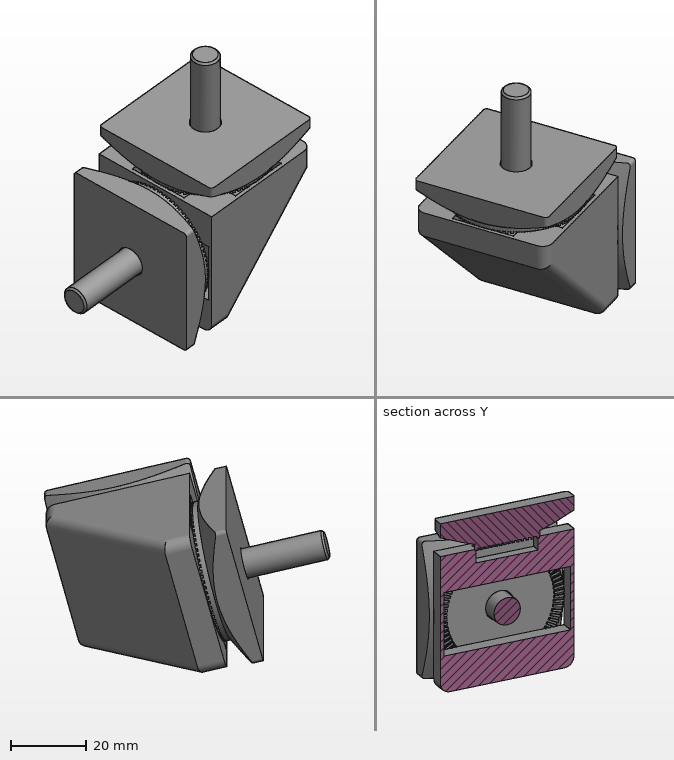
import cadquery as cq
import math

side = 40.0
end_width = 7.35
bracket_fillet = 3.0
pocket_depth = 4.0
pocket_width = 18.3
pocket_rim = 1.15
pocket_length = side - 2 * pocket_rim

flange_height = 10.0
corner_radius = 1.0
corner_thickness = 3.0
cone_depth = 8.1
collar_radius = 19.0
bore_diameter = 8.5
tooth_count = 80
tooth_height = 0.5
tooth_length = 3.0

stud_diameter = 8.0
stud_chamfer = 0.6
top_stud_reach = 32.7
front_stud_reach = 32.5

middle = side / 2
cone_start = flange_height - cone_depth
cone_end = flange_height - corner_thickness
corner_reach = (middle - corner_radius) * math.sqrt(2) + corner_radius


def on_top(shape):
    """Move a shape built on the XY plane to the centre of the bracket's top face."""
    return shape.translate((0, middle, side))


def on_front(shape):
    """Move a shape built on the XY plane to the centre of the front face, Z pointing out."""
    return shape.rotate((0, 0, 0), (1, 0, 0), 90).translate((0, 0, middle))


def make_tooth_gaps():
    """Wedge-shaped gaps between the crown teeth, one of them centred on the X axis."""
    pitch = 360 / tooth_count
    half_angle = math.radians(pitch / 4)
    outside = collar_radius + tooth_length
    half_width = outside * math.tan(half_angle)
    gap = (
        cq.Workplane("XY")
        .polyline([(0, 0), (outside, -half_width), (outside, half_width)])
        .close()
        .extrude(tooth_height)
        .val()
    )
    gaps = [gap.rotate((0, 0, 0), (0, 0, 1), i * pitch) for i in range(tooth_count)]
    return cq.Workplane(cq.Compound.makeCompound(gaps))


def make_flange():
    """Flange with its tooth tips on the XY plane and its outer face up."""
    plate = (
        cq.Workplane("XY")
        .rect(side, side)
        .extrude(flange_height)
        .edges("|Z")
        .fillet(corner_radius)
    )
    turned_profile = [
        (0, tooth_height),
        (collar_radius, tooth_height),
        (collar_radius, cone_start),
        (corner_reach, cone_end),
        (corner_reach, flange_height),
        (0, flange_height),
    ]
    turned = cq.Workplane("XZ").polyline(turned_profile).close().revolve(360, (0, 0), (0, 1))
    teeth = (
        cq.Workplane("XY")
        .circle(collar_radius)
        .circle(collar_radius - tooth_length)
        .extrude(tooth_height)
        .cut(make_tooth_gaps())
    )
    bore = cq.Workplane("XY").circle(bore_diameter / 2).extrude(flange_height)
    return plate.intersect(turned).union(teeth).cut(bore)


def make_stud(reach):
    """Stud standing on a pocket floor and reaching above the XY plane."""
    return (
        cq.Workplane("XY")
        .workplane(offset=-pocket_depth)
        .circle(stud_diameter / 2)
        .extrude(pocket_depth + reach)
        .faces(">Z")
        .chamfer(stud_chamfer)
    )


def make_pocket_bar():
    """Straight pocket along X, open at the XY plane."""
    return cq.Workplane("XY").rect(pocket_length, pocket_width).extrude(-pocket_depth)


def make_bracket(sunk_flange):
    """Bracket with its pockets and the recess that takes the teeth of the sunk flange."""
    outline = [(0, 0), (end_width, 0), (side, side - end_width), (side, side), (0, side)]
    body = (
        cq.Workplane("YZ")
        .polyline(outline)
        .close()
        .extrude(middle, both=True)
    )
    slope_normal = cq.Vector(0, 1, -1)
    back_edges = body.faces(">Y").edges("|Z").vals()
    bottom_edges = body.faces("<Z").edges("|Y").vals()
    slope_edges = body.faces(cq.selectors.DirectionMinMaxSelector(slope_normal)).edges("not |X").vals()
    body = body.newObject(back_edges + bottom_edges + slope_edges).fillet(bracket_fillet)
    bar = make_pocket_bar()
    cross = bar.union(bar.rotate((0, 0, 0), (0, 0, 1), 90))
    return body.cut(on_top(cross)).cut(on_front(bar)).cut(sunk_flange)


flange = make_flange()
top_flange = on_top(flange.translate((0, 0, -tooth_height)))
front_flange = on_front(flange)
bracket = make_bracket(top_flange)
top_stud = on_top(make_stud(top_stud_reach))
front_stud = on_front(make_stud(front_stud_reach))

result = cq.Compound.makeCompound([
    bracket.val(),
    top_flange.val(),
    front_flange.val(),
    top_stud.val(),
    front_stud.val(),
])